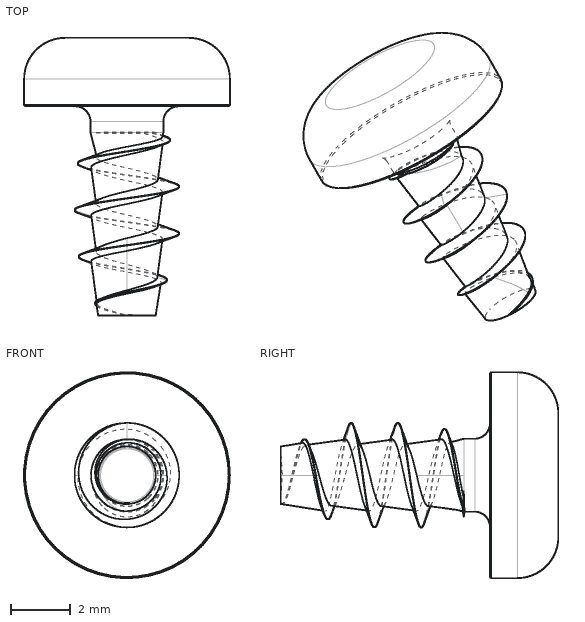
import cadquery as cq
import math


head_radius = 6.9 / 2
head_height = 2.3
crown_round = 1.38
head_edge_chamfer = 0.05

neck_radius = 1.225
neck_round = 0.5
neck_depth = 0.87

shank_length = 7.0
pitch = 1.57
inner_radius = 0.93
buried_radius = 0.85
neck_taper = 0.26
tip_radius = 0.965
tip_taper = 0.16

ramp_top_radius = 1.22
ramp_slope = 0.137
ramp_length = pitch - 0.02

crest_radius = 3.5 / 2
crest_half_width = 0.01
flank_slope = 0.32
run_in_radius = 1.14
run_out_radius = 0.93

fin_radius = 1.136
fin_offset = 0.254
fin_half_width = 0.05
fin_edge_half_width = 0.005

turns_per_taper = 1.5
run_in_start = 0.25
run_in_end = run_in_start + turns_per_taper
run_out_start = 3.25
run_out_end = run_out_start + turns_per_taper
depth_at_zero_turns = shank_length - run_out_end * pitch
turns_per_patch = 0.75
steps_per_patch = 9

dimple_radius = 0.89
dimple_depth = 0.055


def revolve_about_axis(sketch):
    return sketch.close().revolve(360, (0, 0, 0), (0, 1, 0))


def make_head_and_neck():
    """Domed head, bearing face, filleted neck."""
    flare = neck_round * (1 - math.sqrt(0.5))
    outline = (
        cq.Workplane("XY")
        .moveTo(0, head_height)
        .lineTo(head_radius - crown_round, head_height)
        .radiusArc((head_radius, head_height - crown_round), crown_round)
        .lineTo(head_radius, head_edge_chamfer)
        .lineTo(head_radius - head_edge_chamfer, 0)
        .lineTo(neck_radius + neck_round, 0)
        .threePointArc((neck_radius + flare, -flare), (neck_radius, -neck_round))
        .lineTo(neck_radius, -neck_depth)
        .lineTo(0, -neck_depth)
    )
    return revolve_about_axis(outline)


def make_inner_core():
    """Cylinder inside the ramps, with a cone blending it into the neck."""
    blend_end_depth = neck_depth + (neck_radius - inner_radius) / neck_taper
    outline = (
        cq.Workplane("XY")
        .moveTo(0, -neck_depth)
        .lineTo(neck_radius, -neck_depth)
        .lineTo(inner_radius, -blend_end_depth)
        .lineTo(inner_radius, -shank_length)
        .lineTo(0, -shank_length)
    )
    return revolve_about_axis(outline)


def make_tip_envelope():
    """Cone that limits the ramps towards the tip."""
    envelope_radius = tip_radius + tip_taper * (shank_length - neck_depth)
    outline = (
        cq.Workplane("XY")
        .moveTo(0, -neck_depth)
        .lineTo(envelope_radius, -neck_depth)
        .lineTo(tip_radius, -shank_length)
        .lineTo(0, -shank_length)
    )
    return revolve_about_axis(outline)


def make_thread_zone():
    """Cylinder between neck and tip that trims the ends of the tooth."""
    zone_length = shank_length - neck_depth
    return (
        cq.Workplane("XZ", origin=(0, -neck_depth, 0))
        .circle(head_radius)
        .extrude(zone_length)
    )


def make_lead_in_fin():
    outline = (
        cq.Workplane("XY")
        .moveTo(0, fin_half_width)
        .lineTo(buried_radius, fin_half_width)
        .lineTo(fin_radius, fin_edge_half_width)
        .lineTo(fin_radius, -fin_edge_half_width)
        .lineTo(buried_radius, -fin_half_width)
        .lineTo(0, -fin_half_width)
    )
    return revolve_about_axis(outline).translate((0, -neck_depth, -fin_offset))


def make_dimple():
    outline = (
        cq.Workplane("XY")
        .moveTo(0, -shank_length)
        .lineTo(dimple_radius, -shank_length)
        .lineTo(0, -shank_length + dimple_depth)
    )
    return revolve_about_axis(outline)


def helix_point(turns, offset, radius):
    """Point at an axial offset (towards the tip) from the tooth's middle."""
    angle = 2 * math.pi * turns
    depth = depth_at_zero_turns + pitch * turns + offset
    return cq.Vector(radius * math.cos(angle), -depth, radius * math.sin(angle))


def helical_solid(profile_at, first_turn, last_turn):
    """Solid swept by a profile along the helix, in patches of equal length.

    profile_at(turns) gives the (offset, radius) corners of the profile.
    """
    faces = []
    patch_count = round((last_turn - first_turn) / turns_per_patch)
    for patch in range(patch_count):
        start = first_turn + patch * turns_per_patch
        stations = [start + turns_per_patch * i / steps_per_patch for i in range(steps_per_patch + 1)]
        profiles = [profile_at(turns) for turns in stations]
        edges = []
        for corner in range(len(profiles[0])):
            points = [helix_point(t, *p[corner]) for t, p in zip(stations, profiles)]
            edges.append(cq.Edge.makeSpline(points))
        for i, edge in enumerate(edges):
            faces.append(cq.Face.makeRuledSurface(edges[i - 1], edge))
    for turns in (first_turn, last_turn):
        corners = [helix_point(turns, *corner) for corner in profile_at(turns)]
        cap = cq.Wire.makePolygon(corners, close=True)
        faces.append(cq.Face.makeFromWires(cap))
    solid = cq.Solid.makeSolid(cq.Shell.makeShell(faces))
    return cq.Workplane(obj=solid.fix())


def ramp_profile(turns):
    return [
        (0, buried_radius),
        (0, ramp_top_radius),
        (ramp_length, ramp_top_radius - ramp_slope * ramp_length),
        (ramp_length, buried_radius),
    ]


def crest_radius_at(turns):
    run_in = (crest_radius - run_in_radius) * (run_in_end - turns) / turns_per_taper
    run_out = (crest_radius - run_out_radius) * (turns - run_out_start) / turns_per_taper
    return crest_radius - max(0, run_in, run_out)


def tooth_profile(turns):
    crest = crest_radius_at(turns)
    base_half_width = crest_half_width + flank_slope * (crest - buried_radius)
    return [
        (-base_half_width, buried_radius),
        (-crest_half_width, crest),
        (crest_half_width, crest),
        (base_half_width, buried_radius),
    ]


def make_threaded_shank():
    """Sawtooth core and tooth, both ended at the neck and the tip."""
    ramp = helical_solid(ramp_profile, run_in_start - turns_per_patch, run_out_end)
    tooth = helical_solid(tooth_profile, run_in_start, run_out_end)
    ramp = ramp.intersect(make_tip_envelope())
    tooth = tooth.intersect(make_thread_zone())
    return make_inner_core().union(ramp, clean=False).union(tooth, clean=False)


screw = make_head_and_neck().union(make_threaded_shank(), clean=False)
screw = screw.union(make_lead_in_fin(), clean=False)
result = screw.cut(make_dimple(), clean=False)